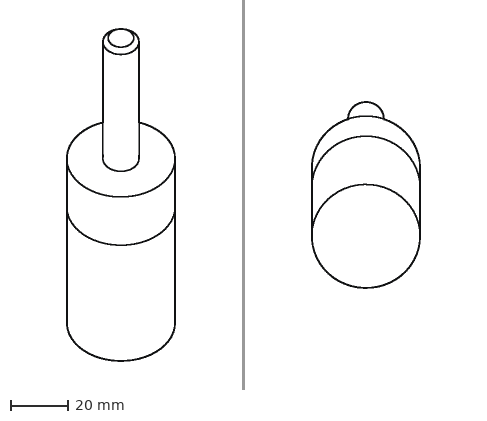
import cadquery as cq

total_height = 152.4
body_diameter = 38.0
shank_diameter = 12.6

cone_height = 11.3
seam_height = 68.7
shoulder_height = 92.7

shank_chamfer = 1.8

body_radius = body_diameter / 2


def make_pointed_body():
    """Lower cylinder that ends in a conical point at the origin."""
    return (
        cq.Workplane("XZ")
        .moveTo(0, 0)
        .lineTo(body_radius, cone_height)
        .lineTo(body_radius, seam_height)
        .lineTo(0, seam_height)
        .close()
        .revolve(360, (0, 0, 0), (0, 1, 0))
    )


def make_shank_cap():
    """Cap of the same diameter as the lower body, with a chamfered shank on top."""
    cap = (
        cq.Workplane("XY", origin=(0, 0, seam_height))
        .circle(body_radius)
        .extrude(shoulder_height - seam_height)
    )
    shank = (
        cq.Workplane("XY", origin=(0, 0, shoulder_height))
        .circle(shank_diameter / 2)
        .extrude(total_height - shoulder_height)
        .faces(">Z")
        .chamfer(shank_chamfer)
    )
    return cap.union(shank)


pointed_body = make_pointed_body()
shank_cap = make_shank_cap()

result = cq.Compound.makeCompound([pointed_body.val(), shank_cap.val()])